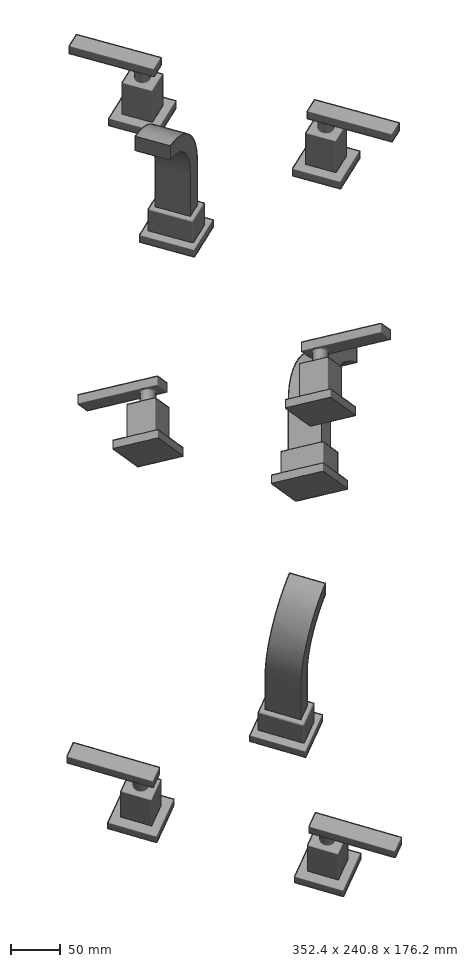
import cadquery as cq
import math

base_thickness = 9.5
edge_round = 0.7

spout_base_width = 60.3
spout_base_depth = 50.5
collar_width = 49.7
collar_depth = 31.5
collar_top = 38.5
collar_round = 1.8
spout_width = 38.5
spout_thickness = 19.0
bend_start_height = 95.5
spout_top = 176.2
spout_reach = 62.5

handle_offset_x = 100.0
handle_offset_y = 152.5
handle_base_width = 53.0
handle_base_depth = 51.5
post_width = 33.5
post_depth = 28.5
post_top = 51.5
stem_diameter = 16.0
stem_foot_cove = 0.7
stem_head_cove = 1.8
lever_bottom = 66.5
lever_top = 77.2
lever_width = 19.7
lever_tip_x = 176.2


def block(width, depth, bottom, top):
    """Box centred on the Z axis, between two heights."""
    return cq.Workplane("XY").workplane(offset=bottom).rect(width, depth).extrude(top - bottom)


def rounded_block(width, depth, bottom, top, round_radius=edge_round):
    """Block with rounded upright corners and a rounded top rim."""
    body = block(width, depth, bottom, top).edges("|Z").fillet(round_radius)
    return body.faces(">Z").edges().fillet(round_radius)


def make_gooseneck():
    """Flat straight column that bends forward and ends in an upright mouth."""
    back = spout_thickness / 2
    front = -back
    run = back + spout_reach
    rise = spout_top - bend_start_height
    outer_radius = (run**2 + rise**2) / (2 * run)
    inner_radius = outer_radius - spout_thickness
    bend_centre_y = back - outer_radius

    def arc_point(radius, angle):
        return (bend_centre_y + radius * math.cos(angle), bend_start_height + radius * math.sin(angle))

    def mouth_angle(radius):
        return math.acos((-spout_reach - bend_centre_y) / radius)

    outer_end = mouth_angle(outer_radius)
    inner_end = mouth_angle(inner_radius)
    profile = (
        cq.Workplane("YZ")
        .moveTo(front, base_thickness)
        .lineTo(back, base_thickness)
        .lineTo(back, bend_start_height)
        .threePointArc(arc_point(outer_radius, outer_end / 2), arc_point(outer_radius, outer_end))
        .lineTo(*arc_point(inner_radius, inner_end))
        .threePointArc(arc_point(inner_radius, inner_end / 2), (front, bend_start_height))
        .close()
    )
    return profile.extrude(spout_width / 2, both=True)


def make_spout():
    base = rounded_block(spout_base_width, spout_base_depth, 0, base_thickness)
    collar = rounded_block(collar_width, collar_depth, base_thickness, collar_top, collar_round)
    return base.union(collar).union(make_gooseneck())


def make_stem():
    """Round stem that flares out in a small cove at the post and a larger one under the lever."""
    radius = stem_diameter / 2
    quarter_middle = 1 - math.sqrt(0.5)
    foot_middle = stem_foot_cove * quarter_middle
    head_middle = stem_head_cove * quarter_middle
    return (
        cq.Workplane("XZ")
        .moveTo(0, post_top)
        .lineTo(radius + stem_foot_cove, post_top)
        .threePointArc((radius + foot_middle, post_top + foot_middle), (radius, post_top + stem_foot_cove))
        .lineTo(radius, lever_bottom - stem_head_cove)
        .threePointArc(
            (radius + head_middle, lever_bottom - head_middle),
            (radius + stem_head_cove, lever_bottom),
        )
        .lineTo(0, lever_bottom)
        .close()
        .revolve(360, (0, 0, 0), (0, 1, 0))
    )


def make_lever():
    """Bar that starts flush with the post side and points toward +X."""
    start = -post_width / 2
    length = lever_tip_x - handle_offset_x - start
    bar = block(length, lever_width, lever_bottom, lever_top).edges().fillet(edge_round)
    return bar.translate((start + length / 2, 0, 0))


def make_handle(side):
    """Handle on the +X side (side = 1) or the -X side (side = -1)."""
    handle = rounded_block(handle_base_width, handle_base_depth, 0, base_thickness)
    handle = handle.union(rounded_block(post_width, post_depth, base_thickness, post_top))
    handle = handle.union(make_stem()).union(make_lever())
    if side < 0:
        handle = handle.mirror("YZ")
    return handle.translate((side * handle_offset_x, handle_offset_y, 0))


spout = make_spout()
handles = [make_handle(side) for side in (-1, 1)]
result = cq.Compound.makeCompound([spout.val(), *[handle.val() for handle in handles]])